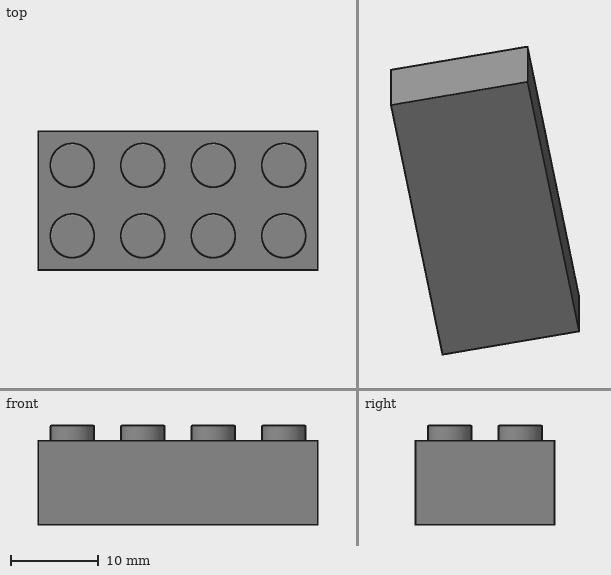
import cadquery as cq

length = 31.8
width = 15.8
total_height = 11.3
stud_height = 1.72
body_height = total_height - stud_height

stud_columns = 4
stud_rows = 2
stud_pitch = 8.0
stud_diameter = 5.0
stud_edge_radius = 0.2


def make_body():
    """Solid rectangular brick standing on the XY plane."""
    return cq.Workplane("XY").box(length, width, body_height, centered=(True, True, False))


def make_studs():
    """Grid of round studs on the top face, with rounded upper rims."""
    return (
        cq.Workplane("XY", origin=(0, 0, body_height))
        .rarray(stud_pitch, stud_pitch, stud_columns, stud_rows)
        .circle(stud_diameter / 2)
        .extrude(stud_height)
        .faces(">Z")
        .edges()
        .fillet(stud_edge_radius)
    )


result = make_body().union(make_studs())